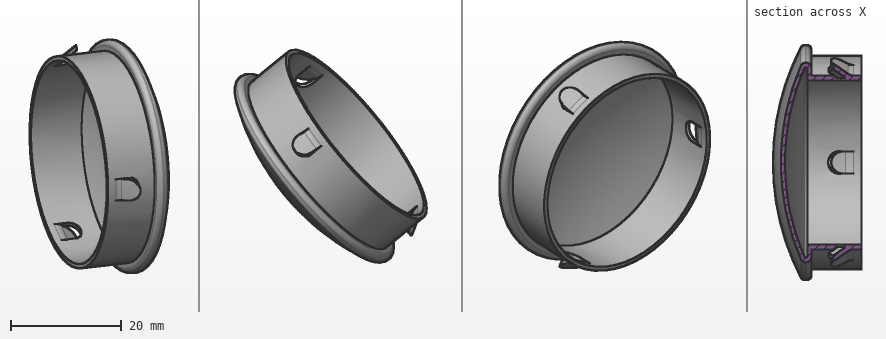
import cadquery as cq
import math

WALL = 0.8

RIM_RADIUS = 21.2
RIM_ROUND = 1.0
RIM_BAND = 0.1

SKIRT_RADIUS = 19.25
SKIRT_LENGTH = 9.0
BORE_RADIUS = SKIRT_RADIUS - WALL

DOME_HEIGHT = 7.0

TAB_COUNT = 3
TAB_WIDTH = 4.0
TAB_HEIGHT = 4.0
WINDOW_HEIGHT = 4.5
TAB_BASE_GAP = 1.5
TAB_BASE_Y = TAB_BASE_GAP - SKIRT_LENGTH
TAB_BEND_RADIUS = 2.0
TAB_ANGLE = math.radians(30)
CUT_START = SKIRT_RADIUS / 2
CUT_LENGTH = SKIRT_RADIUS


def cap_body():
    """Dome, hollow rounded rim and skirt as one revolved wall."""
    round_x = RIM_RADIUS - RIM_ROUND
    lower_y = RIM_ROUND
    upper_y = lower_y + RIM_BAND

    drop = DOME_HEIGHT - upper_y
    dome_radius = (round_x**2 + drop**2 - RIM_ROUND**2) / (2 * (drop - RIM_ROUND))
    dome_y = DOME_HEIGHT - dome_radius
    tangent = math.atan2(upper_y - dome_y, round_x)
    dome_middle = (tangent + math.pi / 2) / 2

    inner_dome = dome_radius - WALL
    inner_round = RIM_ROUND - WALL

    def on_dome(radius, angle):
        return (radius * math.cos(angle), dome_y + radius * math.sin(angle))

    def on_rim(center_y, radius, angle):
        return (round_x + radius * math.cos(angle), center_y + radius * math.sin(angle))

    profile = (
        cq.Workplane("XY")
        .moveTo(0, DOME_HEIGHT - WALL)
        .threePointArc(on_dome(inner_dome, dome_middle), on_dome(inner_dome, tangent))
        .threePointArc(on_rim(upper_y, inner_round, tangent / 2), on_rim(upper_y, inner_round, 0))
        .lineTo(RIM_RADIUS - WALL, lower_y)
        .threePointArc(on_rim(lower_y, inner_round, -math.pi / 4), (round_x, WALL))
        .lineTo(BORE_RADIUS, WALL)
        .lineTo(BORE_RADIUS, -SKIRT_LENGTH)
        .lineTo(SKIRT_RADIUS, -SKIRT_LENGTH)
        .lineTo(SKIRT_RADIUS, 0)
        .lineTo(round_x, 0)
        .threePointArc(on_rim(lower_y, RIM_ROUND, -math.pi / 4), (RIM_RADIUS, lower_y))
        .lineTo(RIM_RADIUS, upper_y)
        .threePointArc(on_rim(upper_y, RIM_ROUND, tangent / 2), on_rim(upper_y, RIM_ROUND, tangent))
        .threePointArc(on_dome(dome_radius, dome_middle), (0, DOME_HEIGHT))
        .close()
    )
    return profile.revolve(360, (0, 0, 0), (0, 1, 0))


def arched_block(height):
    """Block along +X with a flat base at the tab base and a round top toward +Y."""
    half = TAB_WIDTH / 2
    shoulder_y = TAB_BASE_Y + height - half
    return (
        cq.Workplane("YZ", origin=(CUT_START, 0, 0))
        .moveTo(TAB_BASE_Y, -half)
        .lineTo(shoulder_y, -half)
        .threePointArc((shoulder_y + half, 0), (shoulder_y, half))
        .lineTo(TAB_BASE_Y, half)
        .close()
        .extrude(CUT_LENGTH)
    )


def snap_tab():
    """Ring of wall thickness flared outward, trimmed at the +X side to a round-tipped tab."""
    bend_x = SKIRT_RADIUS + TAB_BEND_RADIUS
    inner_bend = TAB_BEND_RADIUS + WALL

    def on_bend(radius, angle):
        return (bend_x - radius * math.cos(angle), TAB_BASE_Y + radius * math.sin(angle))

    outer_end = on_bend(TAB_BEND_RADIUS, TAB_ANGLE)
    inner_end = on_bend(inner_bend, TAB_ANGLE)
    run_x = TAB_HEIGHT * math.tan(TAB_ANGLE)
    flared_ring = (
        cq.Workplane("XY")
        .moveTo(BORE_RADIUS, TAB_BASE_Y)
        .lineTo(SKIRT_RADIUS, TAB_BASE_Y)
        .threePointArc(on_bend(TAB_BEND_RADIUS, TAB_ANGLE / 2), outer_end)
        .lineTo(outer_end[0] + run_x, outer_end[1] + TAB_HEIGHT)
        .lineTo(inner_end[0] + run_x, inner_end[1] + TAB_HEIGHT)
        .lineTo(*inner_end)
        .threePointArc(on_bend(inner_bend, TAB_ANGLE / 2), (BORE_RADIUS, TAB_BASE_Y))
        .close()
        .revolve(360, (0, 0, 0), (0, 1, 0))
    )
    return flared_ring.intersect(arched_block(TAB_HEIGHT))


result = cap_body()
window = arched_block(WINDOW_HEIGHT)
tab = snap_tab()
for index in range(TAB_COUNT):
    turn = index * 360 / TAB_COUNT
    result = result.cut(window.rotate((0, 0, 0), (0, 1, 0), turn))
    result = result.union(tab.rotate((0, 0, 0), (0, 1, 0), turn))